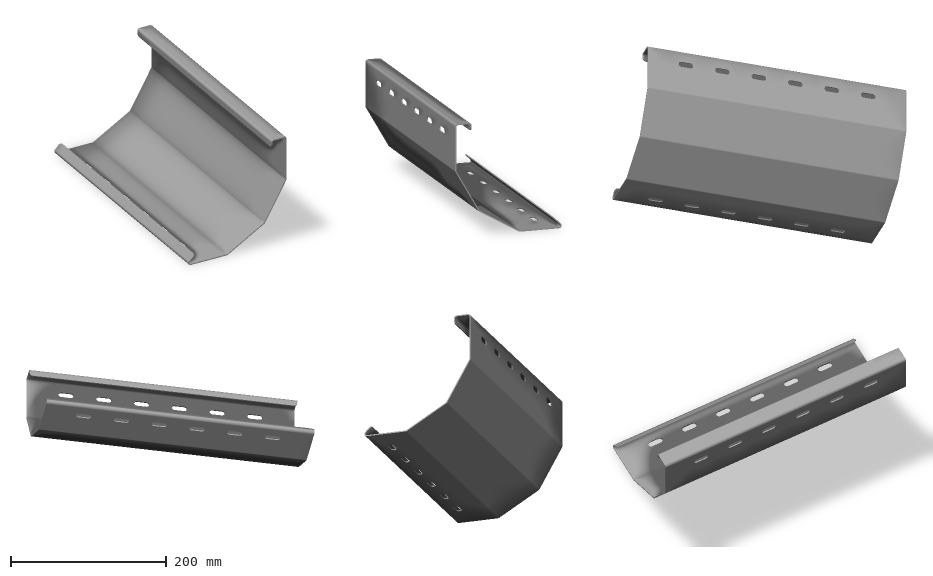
import cadquery as cq
import math

LENGTH = 350.0
DEPTH = 145.0
HEIGHT = 150.0
BACK = DEPTH / 2
FRONT = -DEPTH / 2
TOP = HEIGHT / 2
BOTTOM = -HEIGHT / 2

THICKNESS = 1.5
OUTER_RADIUS = 3.5
INNER_RADIUS = OUTER_RADIUS - THICKNESS
FACET_BEND = 30
RIGHT_BEND = 90
HEM_BEND = 135

FACET = 64.0
TOP_FLANGE = 22.5
TOP_LIP = 10.5
HEM_FLAT = 11.5
LIP_CORNER_RADIUS = 5.0

SLOT_COUNT = 6
SLOT_PITCH = 49.5
SLOT_LENGTH = 19.5
SLOT_WIDTH = 7.5
SLOT_EDGE_OFFSET = 19.5

FACET_ANGLE = math.radians(FACET_BEND)
FACET_RUN = FACET * (math.cos(FACET_ANGLE) + math.sin(FACET_ANGLE))
FACET_SETBACK = OUTER_RADIUS * math.tan(FACET_ANGLE / 2)
FACET_FLAT = FACET - 2 * FACET_SETBACK

BENT_PANELS = [
    (TOP_LIP - OUTER_RADIUS, RIGHT_BEND),
    (TOP_FLANGE - 2 * OUTER_RADIUS, RIGHT_BEND),
    (HEIGHT - FACET_RUN - OUTER_RADIUS - FACET_SETBACK, FACET_BEND),
    (FACET_FLAT, FACET_BEND),
    (FACET_FLAT, FACET_BEND),
    (DEPTH - FACET_RUN - OUTER_RADIUS - FACET_SETBACK, HEM_BEND),
]

UPWARD = 90
QUARTER_TURN = 90

LIP_TIP = (BACK - TOP_FLANGE, TOP - TOP_LIP)


def polar(point, distance, direction):
    """Point at `distance` from `point` along `direction` in the YZ plane."""
    angle = math.radians(direction)
    return (point[0] + distance * math.cos(angle), point[1] + distance * math.sin(angle))


def trace_bends():
    """Follow the outer face clockwise from the top lip to the hem.

    Returns the bends as (center, direction from center to the bend's start, bend angle),
    the outer tip of the hem, and the direction of the hem.
    """
    outer = LIP_TIP
    heading = UPWARD
    bends = []
    for flat, bend in BENT_PANELS:
        bend_start = polar(outer, flat, heading)
        center = polar(bend_start, OUTER_RADIUS, heading - QUARTER_TURN)
        bends.append((center, heading + QUARTER_TURN, bend))
        heading -= bend
        outer = polar(center, OUTER_RADIUS, heading + QUARTER_TURN)
    return bends, polar(outer, HEM_FLAT, heading), heading


BENDS, HEM_TIP, HEM_HEADING = trace_bends()


def bent_sheet():
    """Extrude the bent section along X: outer face out, inner face back."""
    section = cq.Workplane("YZ", origin=(-LENGTH / 2, 0, 0)).moveTo(*LIP_TIP)
    for center, start, bend in BENDS:
        first, middle, last = [polar(center, OUTER_RADIUS, start - bend * part) for part in (0, 0.5, 1)]
        section = section.lineTo(*first).threePointArc(middle, last)
    section = section.lineTo(*HEM_TIP)
    section = section.lineTo(*polar(HEM_TIP, THICKNESS, HEM_HEADING - QUARTER_TURN))
    for center, start, bend in reversed(BENDS):
        first, middle, last = [polar(center, INNER_RADIUS, start - bend * part) for part in (1, 0.5, 0)]
        section = section.lineTo(*first).threePointArc(middle, last)
    section = section.lineTo(*polar(LIP_TIP, THICKNESS, UPWARD - QUARTER_TURN))
    return section.close().extrude(LENGTH)


def round_lip_corners(sheet):
    """Round the free corners of the top lip and the hem at both ends."""
    for tip, heading in ((LIP_TIP, UPWARD), (HEM_TIP, HEM_HEADING)):
        y, z = polar(tip, THICKNESS / 2, heading - QUARTER_TURN)
        for x in (-LENGTH / 2, LENGTH / 2):
            corner = sheet.edges(cq.selectors.NearestToPointSelector((x, y, z)))
            sheet = corner.fillet(LIP_CORNER_RADIUS)
    return sheet


def slot_row(plane, origin):
    """Row of slot cutters along X, reaching equally to both sides of the plane."""
    row = cq.Workplane(plane, origin=origin).rarray(SLOT_PITCH, 3.5, SLOT_COUNT, 1)
    return row.slot2D(SLOT_LENGTH, SLOT_WIDTH).extrude(2 * THICKNESS, both=True)


back_slots = slot_row("XZ", (0, BACK, TOP - SLOT_EDGE_OFFSET))
floor_slots = slot_row("XY", (0, FRONT + SLOT_EDGE_OFFSET, BOTTOM))

result = round_lip_corners(bent_sheet()).cut(back_slots).cut(floor_slots)